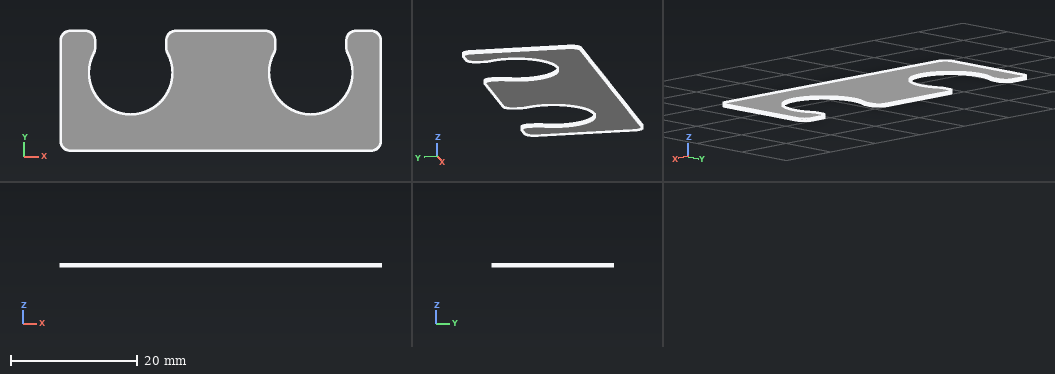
import cadquery as cq

length = 50.8
width = 19.05
thickness = 0.38
corner_radius = 1.6

notch_radius = 6.6
notch_pitch = 28.55
notch_depth = 13.25
mouth_width = 11.25
notch_center_y = width / 2 - notch_depth + notch_radius


def notch_cutter(center_x):
    """Round pocket with a straight, narrower mouth out to the +Y edge."""
    mouth_length = width / 2 - notch_center_y
    pocket = (
        cq.Workplane("XY")
        .center(center_x, notch_center_y)
        .circle(notch_radius)
        .extrude(thickness)
    )
    mouth = (
        cq.Workplane("XY")
        .center(center_x, notch_center_y + mouth_length / 2)
        .rect(mouth_width, mouth_length)
        .extrude(thickness)
    )
    return pocket.union(mouth)


plate = cq.Workplane("XY").box(length, width, thickness, centered=(True, True, False))
for side in (-1, 1):
    plate = plate.cut(notch_cutter(side * notch_pitch / 2))

result = plate.edges("|Z").fillet(corner_radius)